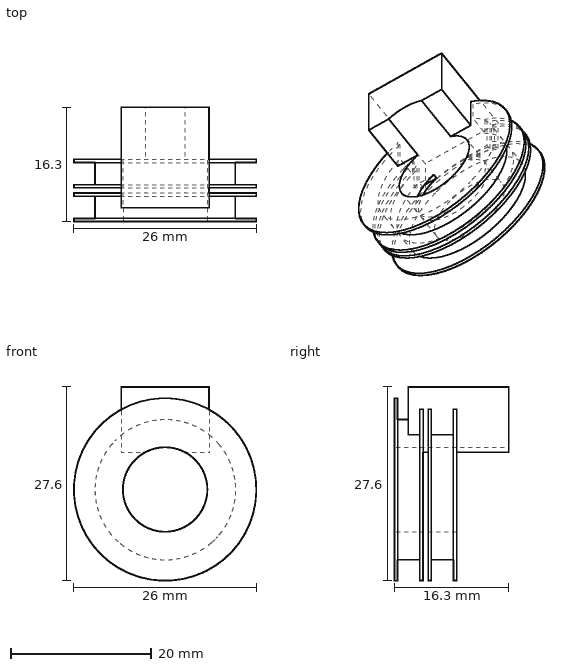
import cadquery as cq

flange_diameter = 26.0
drum_diameter = 20.0
bore_diameter = 12.0
flange_thickness = 0.47
spool_length = 4.08
spool_gap = 0.72
total_height = 27.6
total_depth = 16.3
block_width = 12.5
block_height = 9.3
block_front = 1.95

block_top = total_height - flange_diameter / 2
block_depth = total_depth - block_front


def disc(diameter, start, length):
    """Solid disc about the Y axis, extending from start toward +Y."""
    plane = cq.Workplane("XZ", origin=(0, start, 0))
    return plane.circle(diameter / 2).extrude(-length)


def spool(start):
    """Drum with a thin flange at each end."""
    body = disc(drum_diameter, start, spool_length)
    for flange_start in (start, start + spool_length - flange_thickness):
        body = body.union(disc(flange_diameter, flange_start, flange_thickness))
    return body


block = cq.Workplane("XY").box(
    block_width, block_depth, block_height, centered=(True, False, False)
).translate((0, block_front, block_top - block_height))

result = block
for spool_start in (0, spool_length + spool_gap):
    result = result.union(spool(spool_start))

result = result.cut(disc(bore_diameter, 0, total_depth))